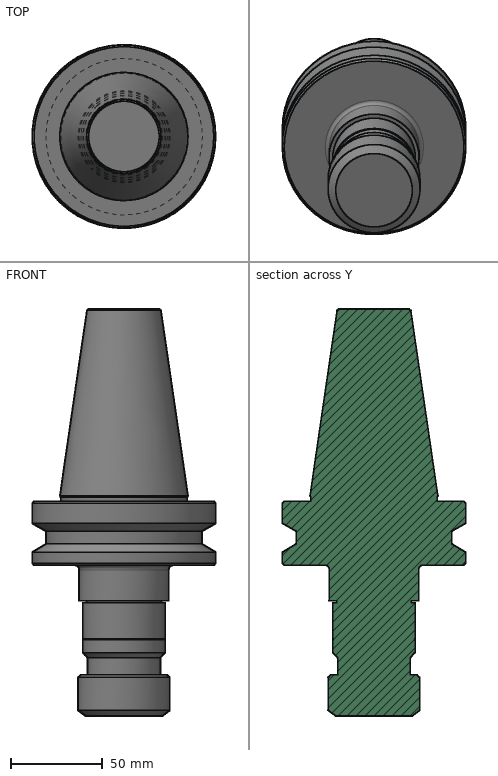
import cadquery as cq

total_length = 221.8
taper_length = 101.8
collar_height = 2.9
gauge_z = total_length - taper_length
flange_top_z = gauge_z - collar_height
flange_bottom_z = 82.0
shank_bottom_z = 62.8
relief_height = 0.9
sleeve_bottom_z = 34.5
nut_top_z = 22.6

flange_diameter = 100.0
gauge_diameter = 69.9
collar_diameter = 69.0
shank_diameter = 49.0
relief_diameter = 41.0
sleeve_diameter = 45.0
neck_diameter = 40.0
nut_diameter = 50.1

taper_ratio = 7 / 24
taper_tip_chamfer = 0.9
flange_chamfer = 1.0
collar_step = 0.9
shank_fillet = 2.2
sleeve_taper_height = 2.7
nut_top_chamfer = 1.5
nut_bottom_chamfer_width = 4.2
nut_bottom_chamfer_height = 3.0

groove_diameter = 85.2
groove_floor_top_z = 100.7
groove_floor_bottom_z = 93.8
groove_mouth_top_z = 105.0
groove_mouth_bottom_z = 89.4

ring_groove_z = 42.0
ring_groove_width = 0.7
ring_groove_depth = 0.2


def turned_body(profile):
    """Revolve a half section of (diameter, height) points about the Z axis."""
    section = [(diameter / 2, height) for diameter, height in profile]
    return cq.Workplane("XZ").polyline(section).close().revolve(360, (0, 0, 0), (0, 1, 0))


def build_taper():
    tip_diameter = gauge_diameter - taper_length * taper_ratio
    shoulder_diameter = tip_diameter + taper_tip_chamfer * taper_ratio
    return turned_body([
        (0, flange_top_z),
        (collar_diameter, flange_top_z),
        (collar_diameter, gauge_z - collar_step),
        (gauge_diameter, gauge_z),
        (shoulder_diameter, total_length - taper_tip_chamfer),
        (tip_diameter - 2 * taper_tip_chamfer, total_length),
        (0, total_length),
    ])


def build_flange():
    face_diameter = flange_diameter - 2 * flange_chamfer
    return turned_body([
        (0, flange_bottom_z),
        (face_diameter, flange_bottom_z),
        (flange_diameter, flange_bottom_z + flange_chamfer),
        (flange_diameter, groove_mouth_bottom_z),
        (groove_diameter, groove_floor_bottom_z),
        (groove_diameter, groove_floor_top_z),
        (flange_diameter, groove_mouth_top_z),
        (flange_diameter, flange_top_z - flange_chamfer),
        (face_diameter, flange_top_z),
        (0, flange_top_z),
    ])


def build_shank():
    radius = shank_diameter / 2
    fillet_center_z = flange_bottom_z - shank_fillet
    bend = shank_fillet * (1 - 0.5 ** 0.5)
    section = (
        cq.Workplane("XZ")
        .moveTo(0, shank_bottom_z)
        .lineTo(radius, shank_bottom_z)
        .lineTo(radius, fillet_center_z)
        .threePointArc((radius + bend, flange_bottom_z - bend), (radius + shank_fillet, flange_bottom_z))
        .lineTo(0, flange_bottom_z)
        .close()
    )
    return section.revolve(360, (0, 0, 0), (0, 1, 0))


def build_sleeve():
    sleeve_top_z = shank_bottom_z - relief_height
    ring_diameter = sleeve_diameter - 2 * ring_groove_depth
    ring_top_z = ring_groove_z + ring_groove_width / 2
    ring_bottom_z = ring_groove_z - ring_groove_width / 2
    return turned_body([
        (0, nut_top_z),
        (neck_diameter, nut_top_z),
        (neck_diameter, sleeve_bottom_z - sleeve_taper_height),
        (sleeve_diameter, sleeve_bottom_z),
        (sleeve_diameter, ring_bottom_z),
        (ring_diameter, ring_bottom_z),
        (ring_diameter, ring_top_z),
        (sleeve_diameter, ring_top_z),
        (sleeve_diameter, sleeve_top_z),
        (relief_diameter, sleeve_top_z),
        (relief_diameter, shank_bottom_z),
        (0, shank_bottom_z),
    ])


def build_nut():
    return turned_body([
        (0, 0),
        (nut_diameter - 2 * nut_bottom_chamfer_width, 0),
        (nut_diameter, nut_bottom_chamfer_height),
        (nut_diameter, nut_top_z - nut_top_chamfer),
        (nut_diameter - 2 * nut_top_chamfer, nut_top_z),
        (0, nut_top_z),
    ])


result = (
    build_taper()
    .union(build_flange())
    .union(build_shank())
    .union(build_sleeve())
    .union(build_nut())
)